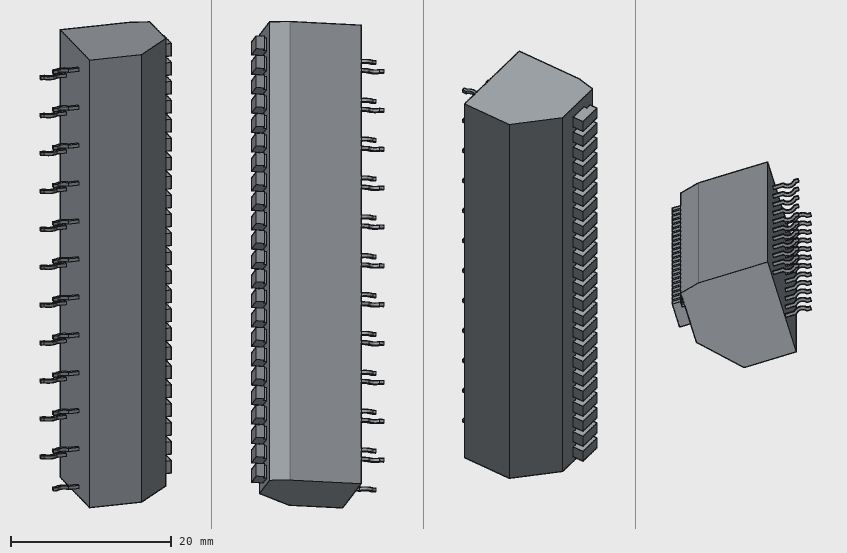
import cadquery as cq

width = 12.0
height = 59.0
total_depth = 16.3
pin_length = 3.3
button_height = 1.5
body_depth = total_depth - pin_length - button_height
left_bevel_width = 0.6
left_bevel_depth = 2.5
right_bevel_width = 4.85
right_bevel_depth = 4.7

position_count = 23
position_span = 55.0
pitch = position_span / (position_count - 1)

button_x = 1.75
button_width = 3.05
button_thickness = 1.65
button_lip = 0.7
button_gap = 0.4
first_button_z = 1.6

pin_width = 0.4
pin_thickness = 0.4
bow_rise = 0.35
bow_distance = 2.05
bow_inner_length = 1.35
bow_outer_length = 1.7
left_row_x = 2.3
right_row_x = 7.45
first_pin_z = 1.3


def make_body():
    outline = [
        (0, 0),
        (width, 0),
        (width, body_depth - right_bevel_depth),
        (width - right_bevel_width, body_depth),
        (left_bevel_width, body_depth),
        (0, body_depth - left_bevel_depth),
    ]
    return cq.Workplane("XY").polyline(outline).close().extrude(height)


def make_button(z):
    lip_y = body_depth + button_gap
    top_y = body_depth + button_height
    outline = [
        (button_x + button_lip, body_depth),
        (button_x + button_width, body_depth),
        (button_x + button_width, top_y),
        (button_x, top_y),
        (button_x, lip_y),
        (button_x + button_lip, lip_y),
    ]
    bottom = cq.Workplane("XY").workplane(offset=z - button_thickness / 2)
    return bottom.polyline(outline).close().extrude(button_thickness)


def make_pin(x, z, direction):
    """Pin centred on x and z that bows towards +X (direction 1) or -X (direction -1)."""
    inner_x = x - direction * pin_width / 2
    outer_x = x + direction * pin_width / 2
    rise = direction * bow_rise
    inner_half = bow_inner_length / 2
    outer_half = bow_outer_length / 2
    bottom = cq.Workplane("XY").workplane(offset=z - pin_thickness / 2)
    outline = (
        bottom.moveTo(inner_x, 0)
        .lineTo(inner_x, inner_half - bow_distance)
        .threePointArc((inner_x + rise, -bow_distance), (inner_x, -bow_distance - inner_half))
        .lineTo(inner_x, -pin_length)
        .lineTo(outer_x, -pin_length)
        .lineTo(outer_x, -bow_distance - outer_half)
        .threePointArc((outer_x + rise, -bow_distance), (outer_x, outer_half - bow_distance))
        .lineTo(outer_x, 0)
        .close()
    )
    return outline.extrude(pin_thickness)


result = make_body()
for index in range(position_count):
    offset = index * pitch
    result = result.union(make_button(first_button_z + offset))
    pin_z = first_pin_z + offset
    if index % 2 == 0:
        pin = make_pin(right_row_x, pin_z, -1)
    else:
        pin = make_pin(left_row_x, pin_z, 1)
    result = result.union(pin)